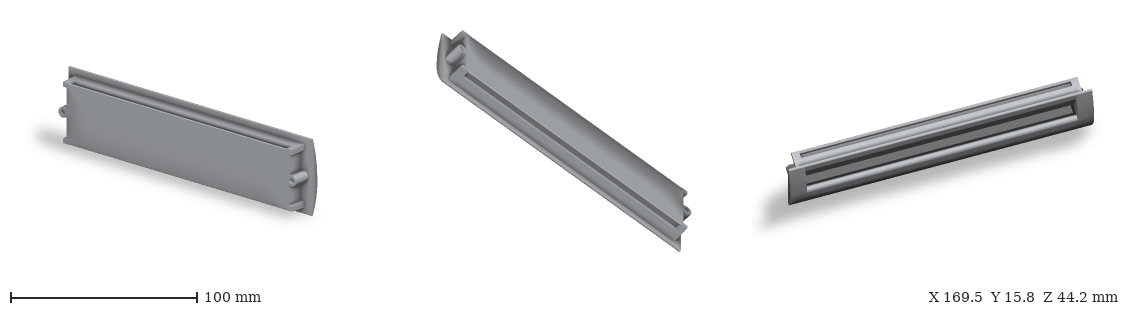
import cadquery as cq
import math


total_length = 169.5
total_height = 44.2
dome_rise = 5.1
tray_depth = 10.7
cap_length = 9.0
half_length = total_length / 2
half_height = total_height / 2
half_grip = half_length - cap_length
grip_length = 2 * half_grip

crest_z = -3.6
rim_thickness = 1.3
rim_back_round = 0.4
rim_front_round = 0.8

wall = 1.5
tray_half_height = 18.1
tray_back_half_height = 17.6
side_slope = (tray_half_height - tray_back_half_height) / tray_depth

groove_front_y = -6.1
groove_floor_z = 15.0
back_plate_y = wall - tray_depth
plate_edge_round = 0.5
plate_crest_y = plate_edge_round - tray_depth
plate_inner_half_height = 17.1
cavity_half_height = tray_half_height - wall
cavity_step_y = groove_front_y + wall
cavity_back_half_height = groove_floor_z - wall
lip_front_y = 1.5
cover_thickness = 1.5
nose_radius = 1.8

arm_reach = 4.2
arm_inner_z = 14.85
boss_x = half_grip + arm_reach
boss_radius = 3.0
boss_neck_height = 5.0
screw_hole_diameter = 3.0
screw_hole_depth = 8.0
drill_point_angle = 118.0


def arc_radius(reach):
    """Radius of a dome arc that falls from the crest to the rim over the given reach in Z."""
    fall = dome_rise - rim_thickness
    return (fall**2 + reach**2) / (2 * fall)


upper_radius = arc_radius(half_height - crest_z)
lower_radius = arc_radius(half_height + crest_z)


def arc_y(radius, z):
    """Y of an arc through the crest, with its centre at crest level, at height z."""
    return dome_rise - radius + math.sqrt(radius**2 - (z - crest_z) ** 2)


def side_z(y):
    """Half height of the tray at depth y."""
    return tray_half_height + side_slope * y


def section(start_x):
    """Sketch plane across the handle: local x is Y and local y is Z, extruded towards +X."""
    return cq.Workplane("YZ", origin=(start_x, 0, 0))


def domed_flange(start_x, length):
    upper_mid_z = (half_height + crest_z) / 2
    lower_mid_z = (crest_z - half_height) / 2
    flange = (
        section(start_x)
        .moveTo(0, -half_height)
        .lineTo(rim_thickness, -half_height)
        .threePointArc((arc_y(lower_radius, lower_mid_z), lower_mid_z), (dome_rise, crest_z))
        .threePointArc((arc_y(upper_radius, upper_mid_z), upper_mid_z), (rim_thickness, half_height))
        .lineTo(0, half_height)
        .close()
        .extrude(length)
    )
    for rim in (">Z", "<Z"):
        flange = flange.faces(rim).edges("|X and >Y").fillet(rim_front_round)
        flange = flange.faces(rim).edges("|X and <Y").fillet(rim_back_round)
    return flange


def grip_tray(start_x, length):
    """Solid channel behind the flange: walls, narrower groove stretch and round-edged back plate."""
    groove_z = side_z(groove_front_y)
    channel = (
        section(start_x)
        .polyline([
            (0, tray_half_height),
            (groove_front_y, groove_z),
            (groove_front_y, -groove_z),
            (0, -tray_half_height),
        ])
        .close()
        .extrude(length)
    )
    groove_stretch = (
        section(start_x)
        .moveTo((groove_front_y + back_plate_y) / 2, 0)
        .rect(groove_front_y - back_plate_y, 2 * groove_floor_z)
        .extrude(length)
    )
    upper_back_plate = (
        section(start_x)
        .moveTo(back_plate_y, 0)
        .lineTo(-tray_depth, 0)
        .lineTo(-tray_depth, tray_back_half_height - plate_edge_round)
        .tangentArcPoint((plate_crest_y, tray_back_half_height), relative=False)
        .lineTo(back_plate_y, plate_inner_half_height)
        .close()
        .extrude(length)
    )
    back_plate = upper_back_plate.union(upper_back_plate.mirror("XY"))
    return channel.union(groove_stretch).union(back_plate)


def finger_cavity(start_x, length):
    """Hollow of the grip, open to the front between the crest and the upper lip."""
    inner_radius = lower_radius - cover_thickness
    inner_mid_z = (crest_z - cavity_half_height) / 2
    clear_y = 2 * dome_rise
    return (
        section(start_x)
        .moveTo(back_plate_y, -cavity_back_half_height)
        .lineTo(cavity_step_y, -cavity_back_half_height)
        .lineTo(cavity_step_y, -cavity_half_height)
        .lineTo(arc_y(inner_radius, -cavity_half_height) - cover_thickness, -cavity_half_height)
        .threePointArc(
            (arc_y(inner_radius, inner_mid_z) - cover_thickness, inner_mid_z),
            (dome_rise - cover_thickness, crest_z),
        )
        .lineTo(clear_y, crest_z)
        .lineTo(clear_y, half_height)
        .lineTo(lip_front_y, half_height)
        .lineTo(lip_front_y, cavity_half_height)
        .lineTo(cavity_step_y, cavity_half_height)
        .lineTo(cavity_step_y, cavity_back_half_height)
        .lineTo(back_plate_y, cavity_back_half_height)
        .close()
        .extrude(length)
    )


def make_grip():
    span = (-half_grip, grip_length)
    cover_nose = (
        section(-half_grip)
        .moveTo(dome_rise - nose_radius, crest_z)
        .circle(nose_radius)
        .extrude(grip_length)
    )
    return domed_flange(*span).union(grip_tray(*span)).cut(finger_cavity(*span)).union(cover_nose)


def tray_block(start_x, length):
    """Block with the tapered outline of the tray."""
    return (
        section(start_x)
        .polyline([
            (0, tray_half_height),
            (-tray_depth, tray_back_half_height),
            (-tray_depth, -tray_back_half_height),
            (0, -tray_half_height),
        ])
        .close()
        .extrude(length)
    )


def screw_boss():
    """Boss beside the end wall, joined to it by a neck and drilled from the back."""
    neck = cq.Workplane("XY").box(
        arm_reach, tray_depth, boss_neck_height, centered=(False, False, True)
    ).translate((half_grip, -tray_depth, 0))
    boss = cq.Workplane("XZ").center(boss_x, 0).circle(boss_radius).extrude(tray_depth)
    return boss.union(neck)


def screw_hole():
    radius = screw_hole_diameter / 2
    point_depth = radius / math.tan(math.radians(drill_point_angle / 2))
    hole_end_y = screw_hole_depth - tray_depth
    return (
        cq.Workplane("XY", origin=(boss_x, 0, 0))
        .polyline([
            (0, -tray_depth),
            (radius, -tray_depth),
            (radius, hole_end_y),
            (0, hole_end_y + point_depth),
        ])
        .close()
        .revolve(360, (0, 0, 0), (0, 1, 0))
    )


def make_right_cap():
    arm_gap = cq.Workplane("XY").box(
        arm_reach, tray_depth, 2 * arm_inner_z, centered=(False, False, True)
    ).translate((half_grip + wall, -tray_depth, 0))
    end_wall_and_arms = tray_block(half_grip, arm_reach).cut(arm_gap)
    flange = domed_flange(half_grip, cap_length)
    return flange.union(end_wall_and_arms).union(screw_boss()).cut(screw_hole())


grip = make_grip()
right_cap = make_right_cap()
left_cap = right_cap.mirror("YZ")

result = cq.Compound.makeCompound([grip.val(), right_cap.val(), left_cap.val()])